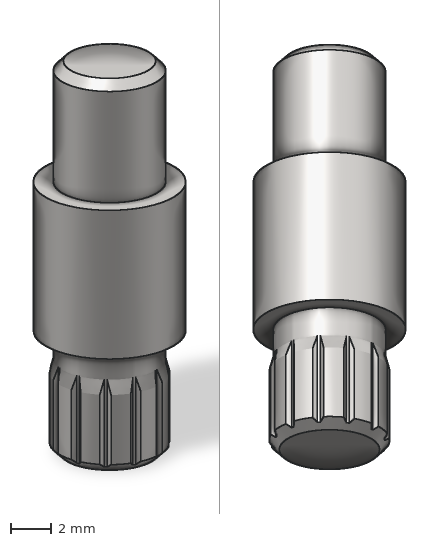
import cadquery as cq
import math

PIN_LENGTH = 21.0
SHAFT_RADIUS = 5.6 / 2
TOP_CHAMFER = 0.5

SPLINE_RADIUS = 6.0 / 2
SPLINE_HEIGHT = 5.0
SPLINE_LEAD_ANGLE = 15.0
BOTTOM_CHAMFER = 0.5
GROOVE_COUNT = 12
GROOVE_FLOOR_WIDTH = 0.15
GROOVE_FLANK_ANGLE = 48.0

SLEEVE_RADIUS = 7.6 / 2
SLEEVE_BOTTOM = 6.5
SLEEVE_LENGTH = 8.0

CUTTER_MARGIN = 0.2


def make_pin_blank():
    """Turned pin with the tapered spline collar, before the grooves are cut."""
    lead_height = (SPLINE_RADIUS - SHAFT_RADIUS) / math.tan(math.radians(SPLINE_LEAD_ANGLE))
    half_profile = [
        (0, 0),
        (SPLINE_RADIUS - BOTTOM_CHAMFER, 0),
        (SPLINE_RADIUS, BOTTOM_CHAMFER),
        (SPLINE_RADIUS, SPLINE_HEIGHT - lead_height),
        (SHAFT_RADIUS, SPLINE_HEIGHT),
        (SHAFT_RADIUS, PIN_LENGTH - TOP_CHAMFER),
        (SHAFT_RADIUS - TOP_CHAMFER, PIN_LENGTH),
        (0, PIN_LENGTH),
    ]
    return cq.Workplane("XZ").polyline(half_profile).close().revolve(360, (0, 0), (0, 1))


def make_groove_cutter():
    """V-shaped wedge along +X with the shaft removed, so the groove floor continues the shaft."""
    floor_half_width = GROOVE_FLOOR_WIDTH / 2
    flank_slope = math.tan(math.radians(GROOVE_FLANK_ANGLE))
    apex_radius = SHAFT_RADIUS - floor_half_width / flank_slope
    outer_radius = SPLINE_RADIUS + CUTTER_MARGIN
    outer_half_width = (outer_radius - apex_radius) * flank_slope
    section = [
        (apex_radius, 0),
        (outer_radius, -outer_half_width),
        (outer_radius, outer_half_width),
    ]
    wedge = cq.Workplane("XY").polyline(section).close().extrude(SPLINE_HEIGHT)
    shaft_core = cq.Workplane("XY").circle(SHAFT_RADIUS).extrude(SPLINE_HEIGHT)
    return wedge.cut(shaft_core)


def make_pin():
    """Pin with evenly spaced grooves; a tooth, not a groove, is centred on the X and Y axes."""
    pin = make_pin_blank()
    cutter = make_groove_cutter()
    pitch_angle = 360 / GROOVE_COUNT
    for index in range(GROOVE_COUNT):
        groove_angle = (index + 0.5) * pitch_angle
        pin = pin.cut(cutter.rotate((0, 0, 0), (0, 0, 1), groove_angle))
    return pin.solids()


def make_sleeve():
    """Plain ring whose bore matches the shaft."""
    sleeve_plane = cq.Workplane("XY").workplane(offset=SLEEVE_BOTTOM)
    return sleeve_plane.circle(SLEEVE_RADIUS).circle(SHAFT_RADIUS).extrude(SLEEVE_LENGTH)


pin = make_pin()
sleeve = make_sleeve()

result = cq.Compound.makeCompound([pin.val(), sleeve.val()])